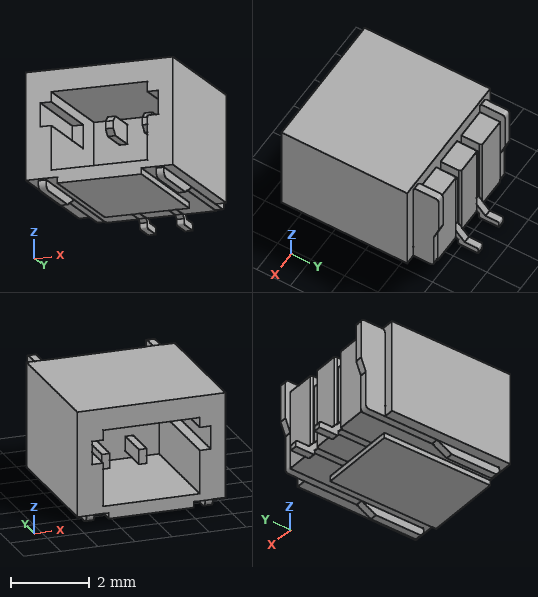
import cadquery as cq


BODY_WIDTH = 4.0
BODY_DEPTH = 3.75
BODY_HEIGHT = 2.85
SOLDER_DROP = 0.25
PAD_WIDTH = 2.29
PAD_DEPTH = 3.35
PAD_HEIGHT = 0.16

CAVITY_WIDTH = 2.61
CAVITY_DEPTH = 3.0
CAVITY_BOTTOM = 0.2
CAVITY_TOP = 2.265
KEYWAY_SPAN = 3.2
KEYWAY_DEPTH = 2.25
KEYWAY_BOTTOM = 1.375
KEYWAY_TOP = 2.0

SHEET = 0.21
CONTACT_PITCH = 1.0
TAB_PITCH = 3.2

WALL_WIDTH = TAB_PITCH - SHEET
WALL_HEIGHT = 2.43
WALL_REAR = BODY_DEPTH + 0.605
MOUTH_DEPTH = 0.07
MOUTH_FLARE = 0.035

PRONG_TIP = 2.0
UPPER_PRONG_BOTTOM = 1.595
UPPER_PRONG_TOP = 2.11
UPPER_PRONG_CHAMFER = 0.16
LOWER_PRONG_BOTTOM = 0.395
LOWER_PRONG_TOP = 0.795
SPINE_FRONT = 3.35
SPINE_REAR = BODY_DEPTH + 0.505
FOOT_TIP = BODY_DEPTH + 1.25
FOOT_TOP = -0.055
FOOT_HEEL = BODY_DEPTH + 0.65
HEEL_TOP = -0.095
FOOT_BEND = BODY_DEPTH + 0.85
LEG_TOP = 0.32
FOOT_ROUND = 0.05

HEAD_TOP = 2.76
HEAD_REAR = BODY_DEPTH + 0.755
HEAD_STEP_TOP = 1.535
HEAD_STEP_BOTTOM = 1.14
HEAD_ROUND = 0.1
ARM_HEIGHT = 0.35
ARM_FRONT = 0.125
RAMP_FRONT = 1.64
RAMP_REAR = 2.1


def box(width, y_front, y_rear, z_bottom, z_top):
    """Block centered on X = 0, spanning the given Y and Z ranges."""
    return cq.Workplane("XY").box(
        width, y_rear - y_front, z_top - z_bottom, centered=(True, False, False)
    ).translate((0, y_front, z_bottom))


def make_contact(x_center):
    """Fork-shaped contact: two prongs, a spine and a bent solder foot."""
    underside_front = FOOT_HEEL + HEEL_TOP
    profile = [
        (PRONG_TIP, LOWER_PRONG_BOTTOM),
        (SPINE_FRONT, LOWER_PRONG_BOTTOM),
        (SPINE_FRONT, 0.0),
        (underside_front, 0.0),
        (FOOT_HEEL, HEEL_TOP),
        (FOOT_HEEL, -SOLDER_DROP),
        (FOOT_TIP, -SOLDER_DROP),
        (FOOT_TIP, FOOT_TOP),
        (FOOT_BEND, FOOT_TOP),
        (SPINE_REAR, LEG_TOP),
        (SPINE_REAR, UPPER_PRONG_TOP),
        (PRONG_TIP + UPPER_PRONG_CHAMFER, UPPER_PRONG_TOP),
        (PRONG_TIP, UPPER_PRONG_TOP - UPPER_PRONG_CHAMFER),
        (PRONG_TIP, UPPER_PRONG_BOTTOM + UPPER_PRONG_CHAMFER),
        (PRONG_TIP + UPPER_PRONG_CHAMFER, UPPER_PRONG_BOTTOM),
        (SPINE_FRONT, UPPER_PRONG_BOTTOM),
        (SPINE_FRONT, LOWER_PRONG_TOP),
        (PRONG_TIP, LOWER_PRONG_TOP),
    ]
    blank = cq.Workplane("YZ").polyline(profile).close().extrude(SHEET / 2, both=True)
    heel_edge = cq.selectors.NearestToPointSelector((0, FOOT_HEEL, -SOLDER_DROP))
    tip_edge = cq.selectors.NearestToPointSelector((0, FOOT_TIP, FOOT_TOP))
    blank = blank.edges("|X").edges(heel_edge).fillet(FOOT_ROUND)
    blank = blank.edges("|X").edges(tip_edge).fillet(FOOT_ROUND)
    return blank.translate((x_center, 0, 0))


def make_tab(x_center):
    """Solder tab: a head behind the housing and an arm running forward to its foot."""
    nose_radius = ARM_HEIGHT / 2
    nose_y = ARM_FRONT + nose_radius
    nose_top = ARM_HEIGHT - SOLDER_DROP
    blank = (
        cq.Workplane("YZ")
        .moveTo(nose_y, -SOLDER_DROP)
        .lineTo(RAMP_FRONT, -SOLDER_DROP)
        .lineTo(RAMP_REAR, 0.0)
        .lineTo(WALL_REAR, 0.0)
        .lineTo(WALL_REAR, HEAD_STEP_BOTTOM)
        .lineTo(HEAD_REAR, HEAD_STEP_TOP)
        .lineTo(HEAD_REAR, HEAD_TOP)
        .lineTo(BODY_DEPTH, HEAD_TOP)
        .lineTo(BODY_DEPTH, ARM_HEIGHT)
        .lineTo(RAMP_REAR, ARM_HEIGHT)
        .lineTo(RAMP_FRONT, nose_top)
        .lineTo(nose_y, nose_top)
        .threePointArc((ARM_FRONT, nose_top - nose_radius), (nose_y, -SOLDER_DROP))
        .close()
        .extrude(SHEET / 2, both=True)
    )
    rounded_corners = [(BODY_DEPTH, HEAD_TOP), (HEAD_REAR, HEAD_TOP), (WALL_REAR, 0.0)]
    for y, z in rounded_corners:
        corner = cq.selectors.NearestToPointSelector((0, y, z))
        blank = blank.edges("|X").edges(corner).fillet(HEAD_ROUND)
    return blank.translate((x_center, 0, 0))


def contact_slot(x_center):
    """Slot through the rear wall, open at top and rear, with a flared mouth."""
    half = SHEET / 2
    mouth_half = half + MOUTH_FLARE
    mouth_front = WALL_REAR - MOUTH_DEPTH
    outline = [
        (-half, BODY_DEPTH),
        (half, BODY_DEPTH),
        (half, mouth_front),
        (mouth_half, WALL_REAR),
        (-mouth_half, WALL_REAR),
        (-half, mouth_front),
    ]
    slot = cq.Workplane("XY").polyline(outline).close().extrude(WALL_HEIGHT)
    return slot.translate((x_center, 0, 0))


def make_housing(contact_places, inserts):
    """Block with pad, rear wall and cavity, plus a matching pocket for every insert."""
    block = box(BODY_WIDTH, 0, BODY_DEPTH, 0, BODY_HEIGHT)
    pad = box(PAD_WIDTH, 0, PAD_DEPTH, -PAD_HEIGHT, 0)
    rear_wall = box(WALL_WIDTH, BODY_DEPTH, WALL_REAR, 0, WALL_HEIGHT)
    cavity = box(CAVITY_WIDTH, 0, CAVITY_DEPTH, CAVITY_BOTTOM, CAVITY_TOP)
    keyways = box(KEYWAY_SPAN, 0, KEYWAY_DEPTH, KEYWAY_BOTTOM, KEYWAY_TOP)
    shell = block.union(pad).union(rear_wall).cut(cavity).cut(keyways)
    for x in contact_places:
        shell = shell.cut(contact_slot(x))
    for insert in inserts:
        shell = shell.cut(insert)
    return shell


contact_places = [-CONTACT_PITCH / 2, CONTACT_PITCH / 2]
tab_places = [-TAB_PITCH / 2, TAB_PITCH / 2]

contacts = [make_contact(x) for x in contact_places]
tabs = [make_tab(x) for x in tab_places]
housing = make_housing(contact_places, contacts + tabs)

result = cq.Compound.makeCompound(
    [housing.solids().val(), *[contact.val() for contact in contacts], *[tab.val() for tab in tabs]]
)